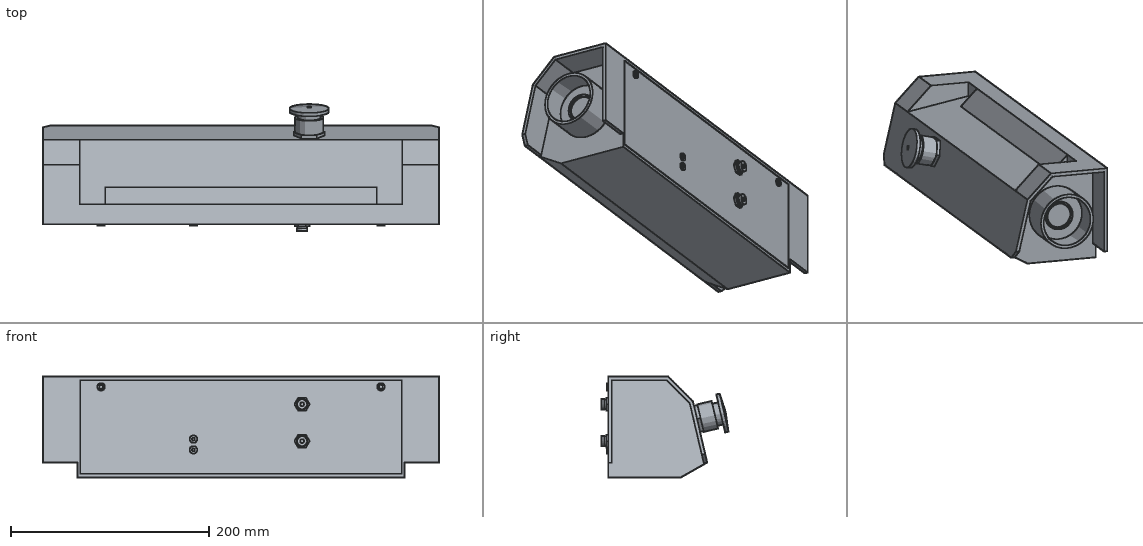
import cadquery as cq
import math


length = 400.0
height = 102.0
sheet = 3.5
hood_bottom = 15.0
ridge_y = 60.5
chamfer_leg = 25.0
back_y = 100.0
flange_corner = 8.5

core_length = 330.0
base_depth = 73.0

recess_length = 325.5
recess_front = 20.5
floor_angle = 9.4
ramp_length = 273.5
ramp_run = 17.5

panel_length = 324.5
panel_bottom = 4.0
panel_top = 98.5
panel_recess_depth = 0.5

tube_y = 43.0
tube_z = 50.5
tube_outer = 56.0
tube_bore = 50.0
tube_bore_depth = 25.5
ring_outer = 29.0
ring_bore = 25.0
ring_height = 2.0

plunger_x = 69.0
plunger_z = 59.0
nut_corners = 31.0
nut_height = 3.5
barrel_diameter = 29.0
barrel_height = 15.0
neck_diameter = 23.0
neck_height = 6.0
knob_diameter = 39.5
knob_rim = 3.5
knob_dome = 1.5
knob_dimple = 4.0
dimple_depth = 1.0

connector_x = 61.5
connector_heights = (74.0, 37.0)
connector_nut_corners = 15.0
connector_nut_height = 2.5
connector_neck = 10.0
connector_neck_height = 2.0
connector_tip = 11.0
connector_tip_height = 3.0
connector_hole = 4.0
connector_hole_depth = 3.5

panel_screws = ((-141.0, 91.5), (141.0, 91.5))
small_screws = ((-48.0, 39.0), (-48.0, 28.0))
screw_diameter = 7.5
screw_height = 1.5
socket_floor = 0.5
panel_screw_socket = 4.0
small_screw_socket = 3.0

eave_y = ridge_y + chamfer_leg
eave_z = height - chamfer_leg
chamfer_angle = math.radians(45)
wall_lean = math.atan2(back_y - eave_y, eave_z - hood_bottom)


def prism(points, prism_length):
    """Extrude a Y-Z outline along X, centred on mid-length."""
    return cq.Workplane("YZ").polyline(points).close().extrude(prism_length / 2, both=True)


def disc(plane, diameter, start, thickness):
    return plane.workplane(offset=start).circle(diameter / 2).extrude(thickness)


def hexagon(plane, corners, thickness):
    return plane.polygon(6, corners).extrude(thickness)


def inside_bend(corner, first_angle, second_angle):
    """Inner corner of a sheet bend, from its outer corner and the directions its two faces point."""
    scale = sheet / (1 + math.cos(first_angle - second_angle))
    return (
        corner[0] - scale * (math.cos(first_angle) + math.cos(second_angle)),
        corner[1] - scale * (math.sin(first_angle) + math.sin(second_angle)),
    )


def hood():
    ridge = (ridge_y, height)
    eave = (eave_y, eave_z)
    outer = [(0, hood_bottom), (0, height), ridge, eave, (back_y, hood_bottom)]
    inner = [
        (back_y - sheet / math.cos(wall_lean), hood_bottom),
        inside_bend(eave, wall_lean, chamfer_angle),
        inside_bend(ridge, chamfer_angle, math.radians(90)),
        (sheet, height - sheet),
        (sheet, hood_bottom),
    ]
    shell = prism(outer + inner, length)
    for side in (-1, 1):
        end = side * length / 2
        corner = (
            cq.Workplane("XZ", origin=(0, ridge_y, 0))
            .polyline([
                (end, hood_bottom),
                (end - side * flange_corner, hood_bottom),
                (end, hood_bottom + flange_corner),
            ])
            .close()
            .extrude(ridge_y - back_y)
        )
        shell = shell.cut(corner)
    return shell


def core():
    outline = [
        (0, 0), (0, height), (ridge_y, height), (eave_y, eave_z), (back_y, hood_bottom), (base_depth, 0),
    ]
    return prism(outline, core_length)


def roof_recess():
    """Recess with a floor falling gently to the eave and a 45 degree ramp under its front edge."""
    front_floor_z = eave_z + (eave_y - recess_front) * math.tan(math.radians(floor_angle))
    floor = [(recess_front, front_floor_z), (eave_y, eave_z), (eave_y, height), (recess_front, height)]
    ramp_back = recess_front + ramp_run
    ramp = [(recess_front, 0), (recess_front, height), (ramp_back, height - ramp_run), (ramp_back, 0)]
    return prism(floor, recess_length).cut(prism(ramp, ramp_length))


def panel_recess():
    outline = [
        (0, panel_bottom),
        (0, panel_top),
        (panel_recess_depth, panel_top),
        (panel_recess_depth, panel_bottom),
    ]
    return prism(outline, panel_length)


def end_tube():
    plane = cq.Workplane("YZ", origin=(-length / 2, tube_y, tube_z))
    tube = disc(plane, tube_outer, 0, (length - core_length) / 2)
    tube = tube.cut(disc(plane, tube_bore, 0, tube_bore_depth))
    ring_start = tube_bore_depth - ring_height
    ring = disc(plane, ring_outer, ring_start, ring_height)
    ring = ring.cut(disc(plane, ring_bore, ring_start, ring_height))
    return tube.union(ring)


def plunger():
    base_y = eave_y + (eave_z - plunger_z) * math.tan(wall_lean)
    axis = (0, math.cos(wall_lean), math.sin(wall_lean))
    plane = cq.Workplane(cq.Plane((plunger_x, base_y, plunger_z), (1, 0, 0), axis))
    barrel_top = nut_height + barrel_height
    knob_start = barrel_top + neck_height
    rim_top = knob_start + knob_rim
    dome_top = rim_top + knob_dome
    dimple_floor = dome_top - dimple_depth
    profile = [
        (0, nut_height),
        (barrel_diameter / 2, nut_height),
        (barrel_diameter / 2, barrel_top),
        (neck_diameter / 2, barrel_top),
        (neck_diameter / 2, knob_start),
        (knob_diameter / 2, knob_start),
        (knob_diameter / 2, rim_top),
        (knob_dimple / 2, dome_top),
        (knob_dimple / 2, dimple_floor),
        (0, dimple_floor),
    ]
    across = (0, -math.sin(wall_lean), math.cos(wall_lean))
    side_plane = cq.Plane((plunger_x, base_y, plunger_z), (1, 0, 0), across)
    turned = cq.Workplane(side_plane).polyline(profile).close().revolve(360, (0, 0), (0, 1))
    return hexagon(plane, nut_corners, nut_height).union(turned)


def connector(z):
    plane = cq.Workplane("XZ", origin=(connector_x, panel_recess_depth, z))
    tip_start = connector_nut_height + connector_neck_height
    tip_end = tip_start + connector_tip_height
    body = hexagon(plane, connector_nut_corners, connector_nut_height)
    body = body.union(disc(plane, connector_neck, 0, tip_end))
    body = body.union(disc(plane, connector_tip, tip_start, connector_tip_height))
    return body.cut(disc(plane, connector_hole, tip_end - connector_hole_depth, connector_hole_depth))


def screw(x, z, socket):
    plane = cq.Workplane("XZ", origin=(x, panel_recess_depth, z))
    head = disc(plane, screw_diameter, 0, screw_height)
    return head.cut(disc(plane, socket, socket_floor, screw_height))


result = hood().union(core()).cut(roof_recess()).cut(panel_recess())
result = result.union(end_tube()).union(plunger())
for connector_z in connector_heights:
    result = result.union(connector(connector_z))
for screw_x, screw_z in panel_screws:
    result = result.union(screw(screw_x, screw_z, panel_screw_socket))
for screw_x, screw_z in small_screws:
    result = result.union(screw(screw_x, screw_z, small_screw_socket))